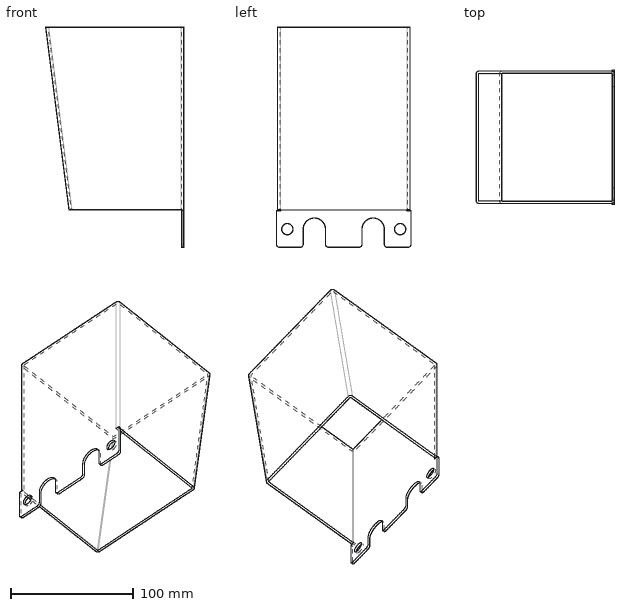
import cadquery as cq
import math

total_height = 180.0
depth_at_rim = 113.0
plate_width = 110.0

sleeve_width = 108.4
wall = 2.0
front_setback = 19.0
inner_corner_radius = 0.5
outer_corner_radius = inner_corner_radius + wall

plate_height = 30.6
plate_thickness = wall
plate_corner_radius = 2.5
relief_gap = 0.5

hole_diameter = 9.0
hole_spacing = 92.2
hole_height = 15.0
slot_width = 18.0
slot_spacing = 48.0
slot_depth = 24.0
slot_mouth_radius = 2.7

sleeve_height = total_height - plate_height
lean = front_setback / sleeve_height
front_wall_run = wall * math.hypot(1, lean)


def tapered_block(front_inset, back_inset, width, radius):
    """Full-height block with a leaning front face and rounded corners, centred on Y."""
    rim_front = front_inset
    base_front = front_setback + front_inset
    back = depth_at_rim - back_inset
    profile = [
        (base_front, plate_height),
        (back, plate_height),
        (back, total_height),
        (rim_front, total_height),
    ]
    block = cq.Workplane("XZ").polyline(profile).close().extrude(width / 2, both=True)
    return block.faces("<Y or >Y").edges("not #Z").fillet(radius)


def sleeve():
    """Four-walled sleeve, open at both ends, with rounded corners inside and out."""
    outer = tapered_block(0, 0, sleeve_width, outer_corner_radius)
    cavity_width = sleeve_width - 2 * wall
    cavity = tapered_block(front_wall_run, wall, cavity_width, inner_corner_radius)
    return outer.cut(cavity)


def plate_slot(center_y):
    """Cutter for a round-topped slot open at the bottom, with flared mouth corners."""
    half_width = slot_width / 2
    arc_center_z = slot_depth - half_width
    mouth = half_width + slot_mouth_radius
    return (
        cq.Workplane("YZ", origin=(depth_at_rim - plate_thickness, center_y, 0))
        .moveTo(-mouth, 0)
        .radiusArc((-half_width, slot_mouth_radius), -slot_mouth_radius)
        .lineTo(-half_width, arc_center_z)
        .threePointArc((0, slot_depth), (half_width, arc_center_z))
        .lineTo(half_width, slot_mouth_radius)
        .radiusArc((mouth, 0), -slot_mouth_radius)
        .close()
        .extrude(plate_thickness)
    )


def mounting_plate():
    """Flat plate with two screw holes and two open slots."""
    plate_front = depth_at_rim - plate_thickness
    plate = (
        cq.Workplane("XY", origin=(plate_front, 0, 0))
        .box(plate_thickness, plate_width, plate_height - relief_gap, centered=(False, True, False))
        .edges("|X and <Z")
        .fillet(plate_corner_radius)
    )
    holes = (
        cq.Workplane("YZ", origin=(plate_front, 0, hole_height))
        .pushPoints([(-hole_spacing / 2, 0), (hole_spacing / 2, 0)])
        .circle(hole_diameter / 2)
        .extrude(plate_thickness)
    )
    plate = plate.cut(holes)
    for side in (-1, 1):
        plate = plate.cut(plate_slot(side * slot_spacing / 2))
    strip_width = sleeve_width - 2 * outer_corner_radius
    strip = cq.Workplane("XY", origin=(plate_front, 0, plate_height - relief_gap)).box(
        plate_thickness, strip_width, relief_gap, centered=(False, True, False)
    )
    return plate.union(strip)


result = sleeve().union(mounting_plate())